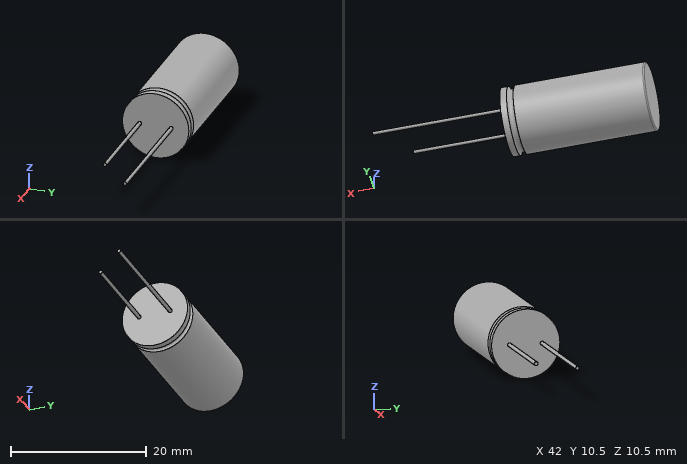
import cadquery as cq

total_length = 42.0
can_diameter = 10.5
can_length = 22.0
end_fillet = 0.2

rim_width = 1.05
groove_width = 1.0
groove_depth = 0.45

lead_diameter = 0.6
lead_pitch = 5.0
long_lead = total_length - can_length
short_lead = 15.0

can_radius = can_diameter / 2
groove_end = can_length - rim_width
groove_start = groove_end - groove_width
groove_middle = (groove_start + groove_end) / 2


def make_can():
    """Revolve the half profile of the grooved can about the X axis."""
    profile = (
        cq.Workplane("XY")
        .lineTo(0, can_radius)
        .lineTo(groove_start, can_radius)
        .threePointArc((groove_middle, can_radius - groove_depth), (groove_end, can_radius))
        .lineTo(can_length, can_radius)
        .lineTo(can_length, 0)
        .close()
    )
    can = profile.revolve(360, (0, 0, 0), (1, 0, 0))
    return can.faces("<X").edges().fillet(end_fillet)


def make_lead(y, length):
    """Round lead standing on the lead end of the can."""
    base = cq.Workplane("YZ", origin=(can_length, y, 0))
    return base.circle(lead_diameter / 2).extrude(length)


result = make_can()
for y, length in ((lead_pitch / 2, long_lead), (-lead_pitch / 2, short_lead)):
    result = result.union(make_lead(y, length))